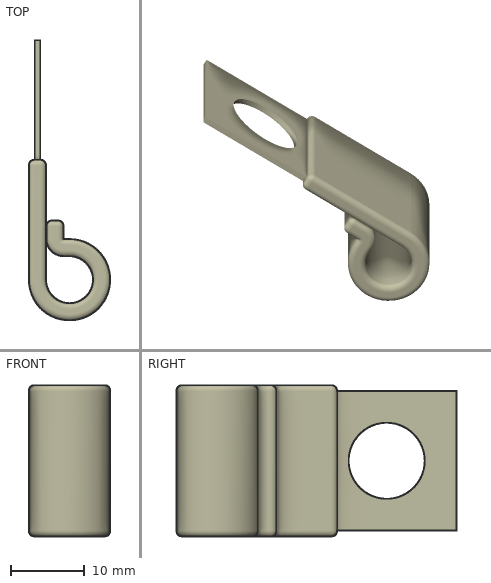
import cadquery as cq

strap_thickness = 0.787
strap_width = 19.0
cushion = strap_thickness
loop_bore = 6.35
tab_hole_diameter = 10.3
tab_hole_y = 23.03
cover_end_y = 16.3
hook_tip_y = 8.05
hook_inner_radius = 0.01

cover_thickness = strap_thickness + 2 * cushion
cover_width = strap_width + 2 * cushion
loop_inner_radius = loop_bore / 2
loop_outer_radius = loop_inner_radius + cover_thickness
loop_mid_radius = loop_inner_radius + cover_thickness / 2

tab_end_y = tab_hole_y + strap_width / 2

hook_bend_x = -cushion
hook_bend_y = loop_outer_radius + hook_inner_radius
hook_mid_radius = hook_inner_radius + cover_thickness / 2


def cover_section(plane):
    """Rounded cover section centred on the plane, thickness along its local x."""
    section = cq.Sketch().rect(cover_thickness, cover_width).vertices().fillet(cushion)
    return plane.placeSketch(section)


def bend(mid_x, mid_y, center_x, center_y, angle):
    """Cover revolved about a Z-parallel axis, from a section in the XZ plane."""
    plane = cq.Workplane("XZ", origin=(mid_x, mid_y, 0))
    axis_start = (center_x - mid_x, 0)
    axis_end = (center_x - mid_x, 1)
    return cover_section(plane).revolve(angle, axis_start, axis_end)


def straight_with_rounded_end(mid_x, start_y, end_y):
    """Straight cover along +Y with all its edges rounded except at the start."""
    length = end_y - start_y
    block = cq.Workplane("XY").box(cover_thickness, length, cover_width)
    block = block.edges("|Y or >Y").fillet(cushion)
    return block.translate((mid_x, (start_y + end_y) / 2, 0))


def loop():
    """Three quarters of a turn, from the leg round the bottom to the top."""
    return bend(-loop_mid_radius, 0, 0, 0, 270)


def hook():
    """Short run from the top of the loop, a quarter bend and the upright tip."""
    run_plane = cq.Workplane("YZ", origin=(hook_bend_x, loop_mid_radius, 0))
    run = cover_section(run_plane).extrude(-hook_bend_x)
    tip_x = hook_bend_x - hook_mid_radius
    corner = bend(tip_x, hook_bend_y, hook_bend_x, hook_bend_y, 90)
    tip = straight_with_rounded_end(tip_x, hook_bend_y, hook_tip_y)
    return run.union(corner).union(tip)


def mounting_tab():
    """Bare strap beyond the cover, rooted inside the leg, with its screw hole."""
    tab = cq.Workplane("XY").box(strap_thickness, tab_end_y, strap_width)
    tab = tab.translate((-loop_mid_radius, tab_end_y / 2, 0))
    hole_plane = cq.Workplane("YZ", origin=(-loop_mid_radius, tab_hole_y, 0))
    hole = hole_plane.circle(tab_hole_diameter / 2).extrude(strap_thickness, both=True)
    return tab.cut(hole)


leg = straight_with_rounded_end(-loop_mid_radius, 0, cover_end_y)
result = leg.union(loop()).union(hook()).union(mounting_tab())